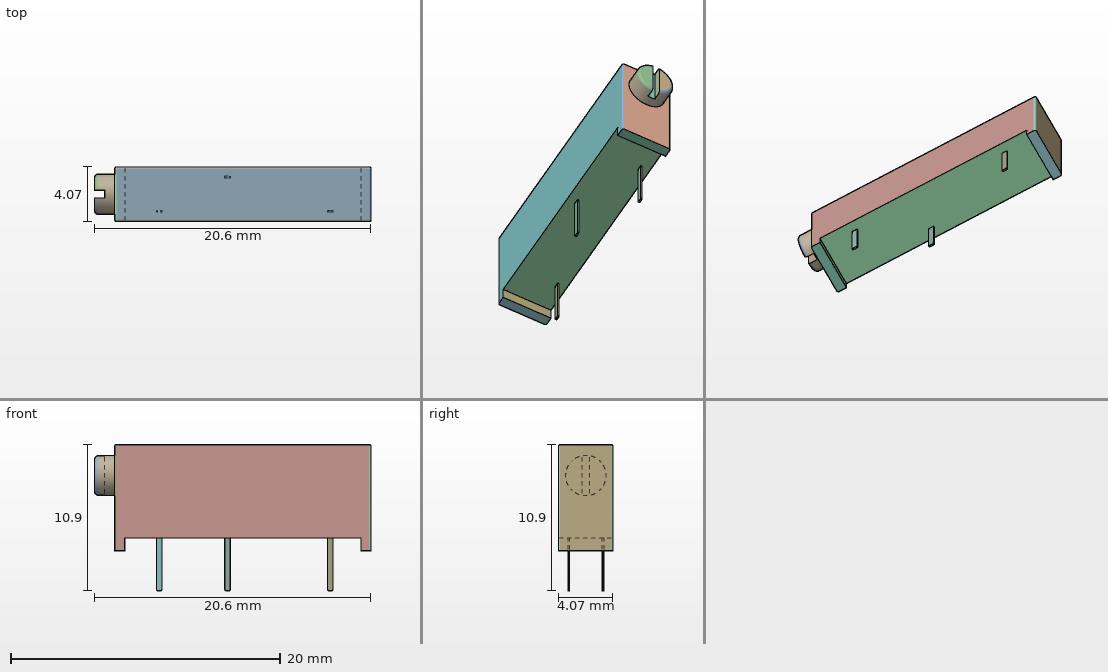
import cadquery as cq

overall_length = 20.55
overall_height = 10.87
body_width = 4.07

screw_length = 1.5
body_length = overall_length - screw_length
pin_drop = 2.98
body_height = overall_height - pin_drop
foot_length = 0.76
foot_height = 0.95
edge_radius = 0.15

screw_diameter = 3.0
screw_below_top = 2.3
screw_edge_radius = 0.29
slot_width = 0.55
slot_depth = 0.76

pin_width = 0.43
pin_thickness = 0.12
pin_tip_chamfer = 0.08
pin_embed = 0.2
pin_row_offset = 1.27
first_pin_x = 4.8
middle_pin_x = first_pin_x + 5.08
last_pin_x = middle_pin_x + 7.62
pin_positions = [
    (first_pin_x, -pin_row_offset),
    (middle_pin_x, pin_row_offset),
    (last_pin_x, -pin_row_offset),
]



def make_body():
    """Rounded box, relieved underneath to leave the two feet."""
    box = (
        cq.Workplane("XY")
        .box(body_length, body_width, body_height, centered=(False, True, False))
        .edges("|Z or >Z")
        .fillet(edge_radius)
        .translate((screw_length, 0, 0))
    )
    relief = (
        cq.Workplane("XY")
        .box(body_length - 2 * foot_length, body_width, foot_height, centered=(False, True, False))
        .translate((screw_length + foot_length, 0, 0))
    )
    return box.cut(relief)


def make_screw():
    """Round screw head with a rounded rim and a vertical driver slot."""
    head = (
        cq.Workplane("YZ")
        .circle(screw_diameter / 2)
        .extrude(screw_length)
        .faces("<X")
        .edges()
        .fillet(screw_edge_radius)
    )
    slot = cq.Workplane("XY").box(slot_depth, slot_width, screw_diameter, centered=(False, True, True))
    return head.cut(slot).translate((0, 0, body_height - screw_below_top))


def make_pin(x, y):
    """Flat pin with the two corners of its tip chamfered."""
    pin_length = pin_drop + foot_height + pin_embed
    return (
        cq.Workplane("XY")
        .box(pin_width, pin_thickness, pin_length, centered=(True, True, False))
        .edges("|Y and <Z")
        .chamfer(pin_tip_chamfer)
        .translate((x, y, -pin_drop))
    )


result = make_body().union(make_screw())
for pin_x, pin_y in pin_positions:
    result = result.union(make_pin(pin_x, pin_y))